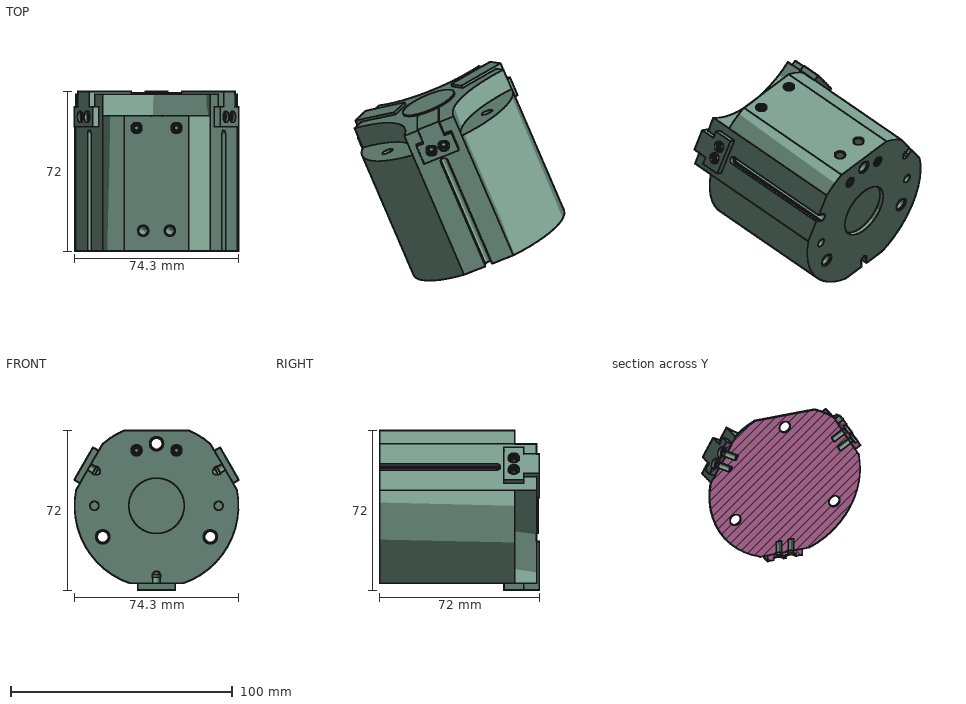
import cadquery as cq
import math


BODY_RADIUS = 37.0
BODY_LENGTH = 70.8
TOP_FLAT_HEIGHT = 34.0
JAW_FLAT_RADIUS = 35.0
SHOULDER_Y = 61.0
WAIST_RADIUS = 38.0
HUB_DIAMETER = 25.0
HUB_HEIGHT = 0.6
CENTRE_RECESS_DEPTH = 2.0

MOUNT_CIRCLE_RADIUS = 28.0
MOUNT_DIAMETER = 5.1
MOUNT_CHAMFER_DIAMETER = 6.3
MOUNT_OFFSET_ANGLE = 60.0
DOWEL_DIAMETER = 4.0
DOWEL_DEPTH = 6.0

PORT_DIAMETER = 4.13
PORT_CHAMFER_DIAMETER = 4.92
PORT_DEPTH = 7.0
DRILL_POINT_ANGLE = 118.0
PLUGGED_PORT_X = 9.0
FRONT_PLUG_Z = 25.0
TOP_PLUG_Y = 55.5
OPEN_PORT_X = 6.0
OPEN_PORT_Y = 9.2

PLUG_LENGTH = 5.0
PLUG_CHAMFER = 0.4
SOCKET_ACROSS_FLATS = 2.1
SOCKET_DEPTH = 1.2
PLUG_RECESS = 0.1

GROOVE_WIDTH = 3.2
GROOVE_DEPTH = 5.5
GROOVE_END_Y = 54.4
GROOVE_LIP_WIDTH = 3.8
GROOVE_LIP_START_DEPTH = 2.7

JAW_ANGLES = (30.0, 150.0, 270.0)
JAW_THICKNESS = 3.0
JAW_WIDTH = 17.0
JAW_START_Y = 56.0
JAW_STEM_START_Y = 65.0
JAW_END_Y = 72.0
JAW_STEM_WIDTH = 10.2
JAW_INNER_RADIUS = 16.0
JAW_OUTER_RADIUS = JAW_FLAT_RADIUS + JAW_THICKNESS

JAW_HOLE_SPACING = 6.0
JAW_HOLE_Y = (JAW_START_Y + JAW_STEM_START_Y) / 2
JAW_COUNTERBORE_DIAMETER = 4.92
JAW_COUNTERBORE_DEPTH = 1.5
JAW_CHAMFER_DIAMETER = 3.24
JAW_THREAD_DIAMETER = 2.46
JAW_THREAD_DEPTH = 6.0

PLUG_PLACES = []
for side in (-1, 1):
    PLUG_PLACES.append(((side * PLUGGED_PORT_X, 0, FRONT_PLUG_Z), (0, 1, 0)))
    PLUG_PLACES.append(((side * PLUGGED_PORT_X, TOP_PLUG_Y, TOP_FLAT_HEIGHT), (0, 0, -1)))


def disc(radius, start_y, end_y):
    """Cylinder on the part axis between two Y positions."""
    return cq.Workplane("XZ", origin=(0, start_y, 0)).circle(radius).extrude(start_y - end_y)


def turned_to(shape, angle):
    """Turn a shape built on the +X side about the part axis; 90 degrees points to +Z."""
    return shape.rotate((0, 0, 0), (0, 1, 0), -angle)


def box_between(x_range, y_range, z_range):
    """Box given by its limits along each axis."""
    lows, highs = zip(x_range, y_range, z_range)
    size = [high - low for low, high in zip(lows, highs)]
    return cq.Workplane("XY").box(*size, centered=False).translate(lows)


def bore(diameter, depth, position, direction):
    """Round cutter that starts at a position and runs along a direction."""
    return cq.Workplane(cq.Solid.makeCylinder(
        diameter / 2, depth, cq.Vector(*position), cq.Vector(*direction)))


def countersink(outer_diameter, inner_diameter, position, direction):
    """45 degree chamfer cutter for the mouth of a hole."""
    depth = (outer_diameter - inner_diameter) / 2
    return cq.Workplane(cq.Solid.makeCone(
        outer_diameter / 2, inner_diameter / 2, depth, cq.Vector(*position), cq.Vector(*direction)))


def port(position, direction):
    """Chamfered threaded hole with a drill point at its end."""
    point_height = PORT_DIAMETER / 2 / math.tan(math.radians(DRILL_POINT_ANGLE / 2))
    end = cq.Vector(*position) + cq.Vector(*direction) * PORT_DEPTH
    point = cq.Solid.makeCone(PORT_DIAMETER / 2, 0, point_height, end, cq.Vector(*direction))
    return (
        bore(PORT_DIAMETER, PORT_DEPTH, position, direction)
        .union(cq.Workplane(point))
        .union(countersink(PORT_CHAMFER_DIAMETER, PORT_DIAMETER, position, direction))
    )


def waist_cutter():
    """Concave hollow between two jaw flats behind the shoulder, on the side at angle 90."""
    flat_half_width = math.sqrt(BODY_RADIUS**2 - JAW_FLAT_RADIUS**2)
    corner_angle = math.radians(JAW_ANGLES[0]) + math.atan2(flat_half_width, JAW_FLAT_RADIUS)
    corner_x = BODY_RADIUS * math.cos(corner_angle)
    corner_z = BODY_RADIUS * math.sin(corner_angle)
    centre_z = corner_z + math.sqrt(WAIST_RADIUS**2 - corner_x**2)
    return disc(WAIST_RADIUS, SHOULDER_Y, BODY_LENGTH).translate((0, 0, centre_z))


def groove_slot(width, end_y, floor_x, top_x):
    """Slot along Y with a half-round end, between two distances from the part axis."""
    slot = box_between((floor_x, top_x), (0, end_y), (-width / 2, width / 2))
    return slot.union(bore(width, top_x - floor_x, (floor_x, end_y, 0), (1, 0, 0)))


def groove_cutter():
    """Sensor groove in the jaw flat at angle 0, open at the mounting face.

    The round-bottomed channel has a ball end and an undercut lip below its mouth.
    """
    radius = GROOVE_WIDTH / 2
    end_centre_y = GROOVE_END_Y - radius
    floor_centre_x = JAW_FLAT_RADIUS - GROOVE_DEPTH + radius
    lip_x = JAW_FLAT_RADIUS - GROOVE_LIP_START_DEPTH
    channel = groove_slot(GROOVE_WIDTH, end_centre_y, floor_centre_x, BODY_RADIUS)
    lip = groove_slot(GROOVE_LIP_WIDTH, end_centre_y, floor_centre_x, lip_x)
    floor = disc(radius, 0, end_centre_y).translate((floor_centre_x, 0, 0))
    ball = cq.Workplane("XY").sphere(radius).translate((floor_centre_x, end_centre_y, 0))
    return channel.union(lip).union(floor).union(ball)


def make_housing():
    housing = disc(BODY_RADIUS, 0, BODY_LENGTH)
    housing = housing.cut(box_between(
        (-BODY_RADIUS, BODY_RADIUS), (0, BODY_LENGTH), (TOP_FLAT_HEIGHT, BODY_RADIUS)))
    jaw_flat = box_between(
        (JAW_FLAT_RADIUS, BODY_RADIUS), (0, BODY_LENGTH), (-BODY_RADIUS, BODY_RADIUS))
    for angle in JAW_ANGLES:
        housing = housing.cut(turned_to(jaw_flat, angle))
        housing = housing.cut(turned_to(waist_cutter(), angle - JAW_ANGLES[0]))
        housing = housing.cut(turned_to(groove_cutter(), angle))
        for side in (-1, 1):
            start = (JAW_FLAT_RADIUS, JAW_HOLE_Y, side * JAW_HOLE_SPACING / 2)
            thread = bore(JAW_THREAD_DIAMETER, JAW_THREAD_DEPTH, start, (-1, 0, 0))
            housing = housing.cut(turned_to(thread, angle))

    housing = housing.cut(disc(HUB_DIAMETER / 2, 0, CENTRE_RECESS_DEPTH))
    housing = housing.union(disc(HUB_DIAMETER / 2, SHOULDER_Y, BODY_LENGTH + HUB_HEIGHT))

    for angle in JAW_ANGLES:
        mount_angle = math.radians(angle + MOUNT_OFFSET_ANGLE)
        position = (MOUNT_CIRCLE_RADIUS * math.cos(mount_angle), 0,
                    MOUNT_CIRCLE_RADIUS * math.sin(mount_angle))
        housing = housing.cut(bore(MOUNT_DIAMETER, BODY_LENGTH, position, (0, 1, 0)))
        housing = housing.cut(countersink(MOUNT_CHAMFER_DIAMETER, MOUNT_DIAMETER, position, (0, 1, 0)))

    for side in (-1, 1):
        housing = housing.cut(bore(
            DOWEL_DIAMETER, DOWEL_DEPTH, (side * MOUNT_CIRCLE_RADIUS, 0, 0), (0, 1, 0)))
        housing = housing.cut(port((side * OPEN_PORT_X, OPEN_PORT_Y, TOP_FLAT_HEIGHT), (0, 0, -1)))
    for position, direction in PLUG_PLACES:
        housing = housing.cut(port(position, direction))
    return housing


def make_jaw():
    """T-shaped clamp on the flat at angle 0, with an arm folded over the back face."""
    plate = box_between((JAW_FLAT_RADIUS, JAW_OUTER_RADIUS), (JAW_START_Y, JAW_STEM_START_Y),
                        (-JAW_WIDTH / 2, JAW_WIDTH / 2))
    stem_width = (-JAW_STEM_WIDTH / 2, JAW_STEM_WIDTH / 2)
    stem = box_between((JAW_FLAT_RADIUS, JAW_OUTER_RADIUS), (JAW_STEM_START_Y, JAW_END_Y), stem_width)
    arm = box_between((JAW_INNER_RADIUS, JAW_OUTER_RADIUS), (BODY_LENGTH, JAW_END_Y), stem_width)
    jaw = plate.union(stem).union(arm)
    for side in (-1, 1):
        start = (JAW_OUTER_RADIUS, JAW_HOLE_Y, side * JAW_HOLE_SPACING / 2)
        jaw = jaw.cut(bore(JAW_COUNTERBORE_DIAMETER, JAW_COUNTERBORE_DEPTH, start, (-1, 0, 0)))
        jaw = jaw.cut(bore(JAW_THREAD_DIAMETER, JAW_THICKNESS, start, (-1, 0, 0)))
        floor = (JAW_OUTER_RADIUS - JAW_COUNTERBORE_DEPTH, *start[1:])
        jaw = jaw.cut(countersink(JAW_CHAMFER_DIAMETER, JAW_THREAD_DIAMETER, floor, (-1, 0, 0)))
    return jaw


def make_plug(position, direction):
    """Hex-socket set screw sunk just below the mouth of its port."""
    plane = cq.Plane(origin=position, xDir=(1, 0, 0), normal=direction)
    return (
        cq.Workplane(plane).workplane(offset=PLUG_RECESS)
        .circle(PORT_DIAMETER / 2).extrude(PLUG_LENGTH)
        .faces(cq.selectors.DirectionMinMaxSelector(cq.Vector(*direction), False)).chamfer(PLUG_CHAMFER)
        .cut(cq.Workplane(plane).workplane(offset=PLUG_RECESS)
             .polygon(6, SOCKET_ACROSS_FLATS, circumscribed=True).extrude(SOCKET_DEPTH))
    )


housing = make_housing()
jaws = [turned_to(make_jaw(), angle) for angle in JAW_ANGLES]
plugs = [make_plug(position, direction) for position, direction in PLUG_PLACES]

result = cq.Compound.makeCompound(
    [housing.val()] + [jaw.val() for jaw in jaws] + [plug.val() for plug in plugs])